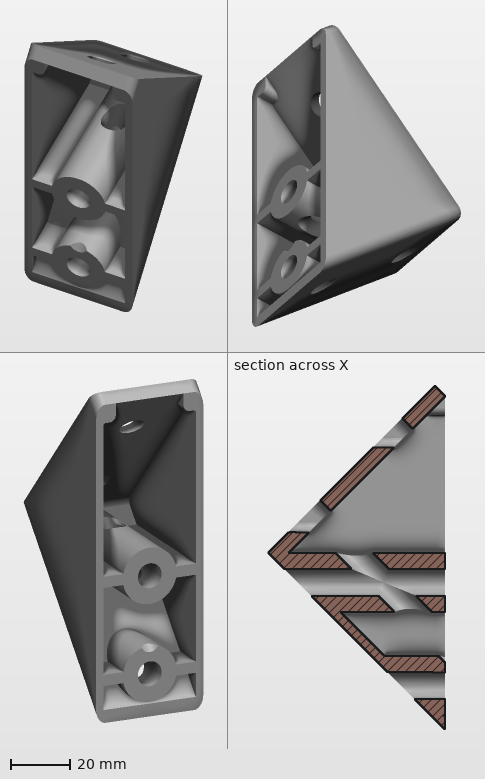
import cadquery as cq
import math

WIDTH = 40.0
HEIGHT = 116.7
DEPTH = 60.1
CORNER_RADIUS = 3.5
SIDE_WALL = 2.8
LOWER_WALL = 3.3
INNER_CORNER_RADIUS = 2.3

BOSS_HEIGHTS = (15.2, 50.0)
BOSS_RADIUS = 10.0
BOLT_HOLE_RADIUS = 4.4
RIB_THICKNESS = 4.0

PAD_WIDTH = 7.4
PAD_HEIGHT = 6.5
PAD_RADIUS = 2.3
PAD_ROOT_RADIUS = 0.7

LOWER_HOLE = (71.2, 0.9)
UPPER_HOLE = (98.9, 0.0)
HOLE_RADIUS = 4.4

ROOT_2 = math.sqrt(2)
BACK_SUM = 2 * DEPTH
PEAK_Y = BACK_SUM - HEIGHT
FRONT_TOP = HEIGHT - PEAK_Y
INNER_SUM = FRONT_TOP
FLOOR_START = LOWER_WALL * ROOT_2
BACK_LENGTH = (DEPTH - PEAK_Y) * ROOT_2
INNER_WIDTH = WIDTH - 2 * SIDE_WALL
BACK_NORMAL = cq.Vector(0, 1, 1)
INWARD = cq.Vector(0, -1, -1)


def prism_x(points, width):
    """Extrude a Y-Z outline symmetrically about X = 0."""
    return cq.Workplane("YZ").polyline(points).close().extrude(width / 2, both=True)


def along_y(height, x=0):
    """Sketch plane on Y = 0 whose extrusion runs toward +Y."""
    return cq.Workplane(cq.Plane(origin=(x, 0, height), xDir=(-1, 0, 0), normal=(0, 1, 0)))


def make_body():
    middle_y = (DEPTH + PEAK_Y) / 2
    back_plane = cq.Plane(origin=(0, middle_y, BACK_SUM - middle_y), xDir=(1, 0, 0), normal=INWARD)
    block = (
        cq.Workplane(back_plane)
        .rect(WIDTH, BACK_LENGTH)
        .extrude(HEIGHT)
        .edges("|(0,1,1)")
        .fillet(CORNER_RADIUS)
    )
    behind_front = cq.Workplane("XY").box(WIDTH, DEPTH, HEIGHT, centered=(True, False, False))
    return block.intersect(behind_front)


def make_cavity():
    corner_z = (INNER_SUM + FLOOR_START) / 2
    corner_y = INNER_SUM - corner_z
    outline = [(0, FLOOR_START), (corner_y, corner_z), (0, INNER_SUM)]
    return prism_x(outline, INNER_WIDTH).edges("|X and >Y").fillet(INNER_CORNER_RADIUS)


def make_boss(height):
    barrel = along_y(height).circle(BOSS_RADIUS).extrude(DEPTH)
    rib = along_y(height).rect(INNER_WIDTH, RIB_THICKNESS).extrude(DEPTH)
    return barrel.union(rib)


def make_pad(side):
    """Corner pad with a rounded free corner and a small fillet into the side wall."""
    wall_x = INNER_WIDTH / 2
    pad_x = WIDTH / 2 - PAD_WIDTH
    bottom = FRONT_TOP - PAD_HEIGHT
    arc_shift = 1 - 1 / ROOT_2
    outline = (
        cq.Workplane("XZ")
        .moveTo(side * wall_x, FRONT_TOP)
        .lineTo(side * pad_x, FRONT_TOP)
        .lineTo(side * pad_x, bottom + PAD_RADIUS)
        .threePointArc(
            (side * (pad_x + PAD_RADIUS * arc_shift), bottom + PAD_RADIUS * arc_shift),
            (side * (pad_x + PAD_RADIUS), bottom),
        )
        .lineTo(side * (wall_x - PAD_ROOT_RADIUS), bottom)
        .threePointArc(
            (side * (wall_x - PAD_ROOT_RADIUS * arc_shift), bottom - PAD_ROOT_RADIUS * arc_shift),
            (side * wall_x, bottom - PAD_ROOT_RADIUS),
        )
        .close()
    )
    return outline.extrude(-DEPTH)


def make_wall_hole(height, stretch):
    """Bore square to the back wall, with its inner mouth also swept out along +Y."""
    inner_y = INNER_SUM - height
    mouth_plane = cq.Plane(origin=(0, inner_y, height), xDir=(1, 0, 0), normal=BACK_NORMAL)
    bore = cq.Workplane(mouth_plane).circle(HOLE_RADIUS).extrude(HEIGHT, both=True)
    mouth = along_y(height).ellipse(HOLE_RADIUS, HOLE_RADIUS / ROOT_2).extrude(DEPTH)
    if stretch:
        lower_mouth = (
            along_y(height - stretch).ellipse(HOLE_RADIUS, HOLE_RADIUS / ROOT_2).extrude(DEPTH)
        )
        link = along_y(height - stretch / 2).rect(2 * HOLE_RADIUS, stretch).extrude(DEPTH)
        mouth = mouth.union(lower_mouth).union(link)
    behind_inner_face = prism_x(
        [(0, INNER_SUM), (INNER_SUM, 0), (INNER_SUM, INNER_SUM)], WIDTH
    )
    outer_y = inner_y + BACK_SUM - INNER_SUM
    half_step = (BACK_SUM - INNER_SUM) / 2
    wedge = prism_x(
        [(inner_y, height), (outer_y, height), (inner_y + half_step, height + half_step)],
        2 * HOLE_RADIUS,
    )
    return bore, mouth.intersect(behind_inner_face), wedge


body = make_body()
cavity = make_cavity()

fittings = [make_boss(height) for height in BOSS_HEIGHTS]
fittings += [make_pad(side) for side in (-1, 1)]
result = body.cut(cavity)
for fitting in fittings:
    result = result.union(fitting.intersect(cavity))

for height in BOSS_HEIGHTS:
    result = result.cut(along_y(height).circle(BOLT_HOLE_RADIUS).extrude(DEPTH))

for height, stretch in (LOWER_HOLE, UPPER_HOLE):
    for cutter in make_wall_hole(height, stretch):
        result = result.cut(cutter)